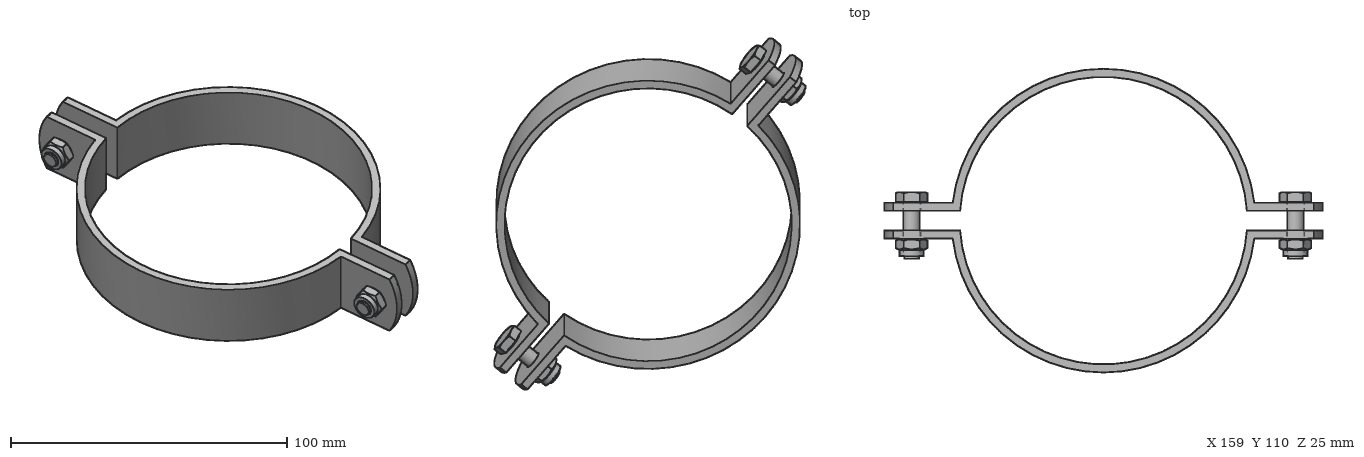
import cadquery as cq
import math

LENGTH = 159.0
RING_DIAMETER = 110.0
BAND_WIDTH = 25.0
BAND_THICKNESS = 3.0
EAR_GAP = 7.0
EAR_END_RADIUS = BAND_WIDTH

BOLT_SPACING = 139.0
BOLT_HOLE_DIAMETER = 6.5
SHANK_DIAMETER = 6.0
TIP_DIAMETER = 5.4
TIP_LENGTH = 1.0
HEX_ACROSS_FLATS = 10.0
HEAD_HEIGHT = 3.8
WASHER_FACE_DIAMETER = 8.7
WASHER_FACE_HEIGHT = 0.3
NUT_HEX_HEIGHT = 4.1
HEX_CHAMFER_ANGLE = 30
COLLAR_DIAMETER = 8.9
COLLAR_HEIGHT = 2.2

outer_radius = RING_DIAMETER / 2
inner_radius = outer_radius - BAND_THICKNESS
half_length = LENGTH / 2
half_width = BAND_WIDTH / 2
ear_inner_y = EAR_GAP / 2
ear_outer_y = ear_inner_y + BAND_THICKNESS
bolt_positions = (-BOLT_SPACING / 2, BOLT_SPACING / 2)
hex_across_corners = HEX_ACROSS_FLATS / math.cos(math.radians(30))
nut_height = NUT_HEX_HEIGHT + COLLAR_HEIGHT


def cylinder_along_y(x, start_y, end_y, diameter):
    """Cylinder running from start_y towards -Y to end_y."""
    return cq.Workplane("XZ", origin=(x, start_y, 0)).circle(diameter / 2).extrude(start_y - end_y)


def chamfered_hexagon(x, start_y, height, face_diameter, chamfered_faces):
    """Hexagonal prism from start_y towards -Y, corners along X, coned down to face_diameter at its ends."""
    chamfer_width = (hex_across_corners - face_diameter) / 2
    chamfer_height = chamfer_width * math.tan(math.radians(HEX_CHAMFER_ANGLE))
    corner_limit = cylinder_along_y(x, start_y, start_y - height, hex_across_corners)
    for face in chamfered_faces:
        corner_limit = corner_limit.faces(face).chamfer(chamfer_height, chamfer_width)
    prism = cq.Workplane("XZ", origin=(x, start_y, 0)).polygon(6, hex_across_corners).extrude(height)
    return prism.intersect(corner_limit)


def make_back_half():
    """Clamp half on the +Y side."""
    inner_x = math.sqrt(inner_radius**2 - ear_inner_y**2)
    outer_x = math.sqrt(outer_radius**2 - ear_outer_y**2)
    band = (
        cq.Workplane("XY", origin=(0, 0, -half_width))
        .moveTo(-half_length, ear_inner_y)
        .lineTo(-inner_x, ear_inner_y)
        .threePointArc((0, inner_radius), (inner_x, ear_inner_y))
        .lineTo(half_length, ear_inner_y)
        .lineTo(half_length, ear_outer_y)
        .lineTo(outer_x, ear_outer_y)
        .threePointArc((0, outer_radius), (-outer_x, ear_outer_y))
        .lineTo(-half_length, ear_outer_y)
        .close()
        .extrude(BAND_WIDTH)
    )
    corner_x = half_length - EAR_END_RADIUS + math.sqrt(EAR_END_RADIUS**2 - half_width**2)
    rounded_outline = (
        cq.Workplane("XZ", origin=(0, outer_radius, 0))
        .moveTo(-corner_x, -half_width)
        .lineTo(corner_x, -half_width)
        .threePointArc((half_length, 0), (corner_x, half_width))
        .lineTo(-corner_x, half_width)
        .threePointArc((-half_length, 0), (-corner_x, -half_width))
        .close()
        .extrude(outer_radius)
    )
    half = band.intersect(rounded_outline)
    for x in bolt_positions:
        half = half.cut(cylinder_along_y(x, ear_outer_y, ear_inner_y, BOLT_HOLE_DIAMETER))
    return half


def make_bolt(x):
    """Hex bolt with a washer face against the back ear and a narrower tip beyond the nut."""
    shank_end_y = -ear_outer_y - nut_height
    head_y = ear_outer_y + HEAD_HEIGHT
    shank = cylinder_along_y(x, ear_outer_y, shank_end_y, SHANK_DIAMETER)
    tip = cylinder_along_y(x, shank_end_y, shank_end_y - TIP_LENGTH, TIP_DIAMETER)
    head = chamfered_hexagon(x, head_y, HEAD_HEIGHT - WASHER_FACE_HEIGHT, HEX_ACROSS_FLATS, (">Y",))
    washer_face = cylinder_along_y(x, ear_outer_y + WASHER_FACE_HEIGHT, ear_outer_y, WASHER_FACE_DIAMETER)
    return head.union(washer_face).union(shank).union(tip)


def make_nut(x):
    """Locking nut: a hexagon with both faces chamfered and a round collar."""
    start_y = -ear_outer_y
    collar_y = start_y - NUT_HEX_HEIGHT
    end_y = start_y - nut_height
    hexagon = chamfered_hexagon(x, start_y, NUT_HEX_HEIGHT, COLLAR_DIAMETER, (">Y", "<Y"))
    collar = cylinder_along_y(x, collar_y, end_y, COLLAR_DIAMETER)
    bore = cylinder_along_y(x, start_y, end_y, SHANK_DIAMETER)
    return hexagon.union(collar).cut(bore)


back_half = make_back_half()
front_half = back_half.mirror("XZ")
bolts = [make_bolt(x) for x in bolt_positions]
nuts = [make_nut(x) for x in bolt_positions]

result = cq.Compound.makeCompound(
    [back_half.val(), front_half.val()]
    + [bolt.val() for bolt in bolts]
    + [nut.val() for nut in nuts]
)